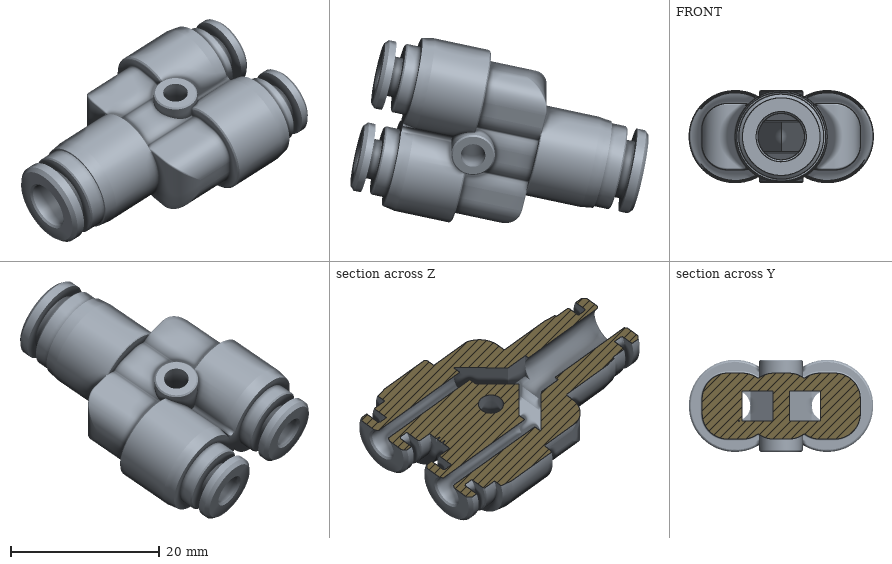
import cadquery as cq
import math

length = 37.7
shell_radius = 6.22
branch_offset = shell_radius

inlet_ring_radius = 5.73
inlet_ring_thickness = 1.65
inlet_neck_radius = 3.95
inlet_sleeve_start = 3.0
inlet_cone_start = 5.28
inlet_cone_radius = 6.0
inlet_cone_end = 6.97
inlet_shell_end = 14.75
inlet_shell_chamfer = 0.1
inlet_bore_radius = 3.13
inlet_bore_depth = 15.08

branch_ring_radius = 4.7
branch_ring_thickness = 1.45
branch_neck_radius = 2.7
branch_sleeve_start = 2.8
branch_cone_start = 4.8
branch_cone_radius = 5.92
branch_cone_end = 6.4
branch_shell_end = 14.25
branch_shell_chamfer = 0.23
branch_bore_radius = 2.07

ring_chamfer = 0.5
sleeve_chamfer = 0.2
neck_flare_width = 0.1
neck_flare_length = 0.23
mouth_chamfer = 0.25

manifold_start = 14.65
bar_half_size = 4.5
bar_edge_radius = 3.5
manifold_corner_radius = 3.55
groove_fillet = 0.23
manifold_rim_fillet = 0.23
junction_fillet = 0.2

web_fillet_radius = 0.5

selection_margin = 0.05

boss_y = 23.1
boss_radius = 2.95
boss_edge_chamfer = 0.2
boss_hole_radius = 1.65

chamber_half_height = 2.2
duct_half_height = 2.0
wedge_tip_y = 17.72

branch_sides = (-1, 1)
branch_mouth_y = length
branch_shell_y = length - branch_shell_end
manifold_half_width = branch_offset + bar_half_size
groove_x = branch_offset / 2


def revolve_port(points, mouth_y, direction, center_x):
    """Turn (radius, depth) points about a port axis; depth grows from the mouth along direction."""
    placed = [(center_x + radius, mouth_y + direction * depth) for radius, depth in points]
    return (
        cq.Workplane("XY")
        .polyline(placed)
        .close()
        .revolve(360, (center_x, 0, 0), (center_x, 1, 0))
    )


def port_outline(ring_radius, ring_thickness, neck_radius, sleeve_start,
                 cone_start, cone_radius, cone_end, shell_end, shell_chamfer):
    """Half section of a port: release ring, neck, sleeve, cone and shell."""
    return [
        (0, 0),
        (ring_radius - ring_chamfer, 0),
        (ring_radius, ring_chamfer),
        (ring_radius, ring_thickness),
        (neck_radius + neck_flare_width, ring_thickness),
        (neck_radius, ring_thickness + neck_flare_length),
        (neck_radius, sleeve_start),
        (ring_radius - sleeve_chamfer, sleeve_start),
        (ring_radius, sleeve_start + sleeve_chamfer),
        (ring_radius, cone_start),
        (cone_radius, cone_start),
        (shell_radius, cone_end),
        (shell_radius, shell_end - shell_chamfer),
        (shell_radius - shell_chamfer, shell_end),
        (0, shell_end),
    ]


def bore_outline(radius, depth):
    """Half section of a blind bore with a chamfered mouth."""
    return [
        (0, 0),
        (radius + mouth_chamfer, 0),
        (radius, mouth_chamfer),
        (radius, depth),
        (0, depth),
    ]


def make_manifold():
    """Three rounded-square bars, joined with filleted grooves and rounded outer corners."""
    bar_length = branch_shell_y - manifold_start
    bars = None
    for center_x in (-branch_offset, 0, branch_offset):
        bar = (
            cq.Workplane("XZ", origin=(center_x, branch_shell_y, 0))
            .rect(2 * bar_half_size, 2 * bar_half_size)
            .extrude(bar_length)
            .edges("|Y")
            .fillet(bar_edge_radius)
        )
        bars = bar if bars is None else bars.union(bar)

    for side in branch_sides:
        near_groove = cq.selectors.BoxSelector(
            (side * groove_x - selection_margin, manifold_start, -bar_half_size),
            (side * groove_x + selection_margin, branch_shell_y, bar_half_size),
        )
        bars = bars.edges("|Y").edges(near_groove).fillet(groove_fillet)

    plan = (
        cq.Workplane("XY")
        .center(0, (manifold_start + branch_shell_y) / 2)
        .rect(2 * manifold_half_width, bar_length)
        .extrude(bar_half_size, both=True)
        .edges("|Z and <Y")
        .fillet(manifold_corner_radius)
    )
    manifold = bars.intersect(plan)
    return manifold.faces("<Y").edges("not |Z").fillet(manifold_rim_fillet)


def fillet_branch_junctions(body):
    """Round the inner corners where the outer bars meet the flat ends of the branch shells."""
    inner_x = groove_x - selection_margin
    outer_x = manifold_half_width + selection_margin
    half_height = bar_half_size + selection_margin
    left, right = [
        cq.selectors.BoxSelector(
            (side * inner_x, branch_shell_y - selection_margin, -half_height),
            (side * outer_x, branch_shell_y + selection_margin, half_height),
        )
        for side in branch_sides
    ]
    return body.edges(left + right).fillet(junction_fillet)


def make_inlet_flare():
    """Concave ring that blends the inlet shell into the flat front of the manifold."""
    flare_radius = shell_radius + junction_fillet
    flare_start = manifold_start - junction_fillet
    arc_offset = junction_fillet * math.sqrt(0.5)
    ring = (
        cq.Workplane("XY")
        .moveTo(shell_radius - junction_fillet, flare_start)
        .lineTo(shell_radius, flare_start)
        .threePointArc((flare_radius - arc_offset, flare_start + arc_offset), (flare_radius, manifold_start))
        .lineTo(flare_radius, inlet_shell_end)
        .lineTo(shell_radius - junction_fillet, inlet_shell_end)
        .close()
        .revolve(360, (0, 0, 0), (0, 1, 0))
    )
    front_half_height = bar_half_size - manifold_rim_fillet
    front_band = (
        cq.Workplane("XY")
        .rect(2 * manifold_half_width, 2 * length)
        .extrude(front_half_height, both=True)
    )
    return ring.intersect(front_band)


def make_web():
    """Fill between the branch shells, topped and bottomed by arcs tangent to both of them."""
    arc_center_z = ((shell_radius + web_fillet_radius) ** 2 - branch_offset ** 2) ** 0.5
    shell_share = shell_radius / (shell_radius + web_fillet_radius)
    tangent_x = branch_offset * (1 - shell_share)
    tangent_z = arc_center_z * shell_share
    arc_mid_z = arc_center_z - web_fillet_radius
    return (
        cq.Workplane("XZ", origin=(0, length - branch_cone_start, 0))
        .moveTo(-tangent_x, -tangent_z)
        .threePointArc((0, -arc_mid_z), (tangent_x, -tangent_z))
        .lineTo(tangent_x, tangent_z)
        .threePointArc((0, arc_mid_z), (-tangent_x, tangent_z))
        .close()
        .extrude(branch_shell_end - branch_cone_start)
    )


def make_boss():
    """Round boss across the full thickness of the fitting."""
    return (
        cq.Workplane("XY", origin=(0, boss_y, 0))
        .circle(boss_radius)
        .extrude(shell_radius, both=True)
        .faces("<Z or >Z")
        .chamfer(boss_edge_chamfer)
    )


def make_passage():
    """Port bores, the flat chamber behind the inlet bore and the two slanted ducts."""
    passage = revolve_port(bore_outline(inlet_bore_radius, inlet_bore_depth), 0, 1, 0)
    duct_inner_x = branch_offset - branch_bore_radius
    duct_outer_x = branch_offset + branch_bore_radius
    duct_end_y = wedge_tip_y + duct_inner_x
    duct_start_y = duct_end_y - (duct_outer_x - inlet_bore_radius)
    chamber = (
        cq.Workplane("XY")
        .rect(2 * inlet_bore_radius, 2 * (duct_start_y - inlet_bore_depth))
        .extrude(chamber_half_height, both=True)
        .translate((0, inlet_bore_depth, 0))
    )
    passage = passage.union(chamber)
    for side in branch_sides:
        duct = (
            cq.Workplane("XY")
            .moveTo(0, inlet_bore_depth)
            .lineTo(0, wedge_tip_y)
            .lineTo(side * duct_inner_x, duct_end_y)
            .lineTo(side * duct_outer_x, duct_end_y)
            .lineTo(side * inlet_bore_radius, duct_start_y)
            .lineTo(side * inlet_bore_radius, inlet_bore_depth)
            .close()
            .extrude(duct_half_height, both=True)
        )
        bore = revolve_port(
            bore_outline(branch_bore_radius, branch_mouth_y - duct_end_y),
            branch_mouth_y, -1, side * branch_offset,
        )
        passage = passage.union(duct).union(bore)
    return passage


inlet_outline = port_outline(
    inlet_ring_radius, inlet_ring_thickness, inlet_neck_radius, inlet_sleeve_start,
    inlet_cone_start, inlet_cone_radius, inlet_cone_end,
    inlet_shell_end, inlet_shell_chamfer,
)
branch_outline = port_outline(
    branch_ring_radius, branch_ring_thickness, branch_neck_radius, branch_sleeve_start,
    branch_cone_start, branch_cone_radius, branch_cone_end,
    branch_shell_end, branch_shell_chamfer,
)

branches = make_web()
for side in branch_sides:
    branches = branches.union(revolve_port(branch_outline, branch_mouth_y, -1, side * branch_offset))

body = fillet_branch_junctions(make_manifold().union(branches).union(make_boss()))
body = body.union(revolve_port(inlet_outline, 0, 1, 0).union(make_inlet_flare()))
boss_hole = (
    cq.Workplane("XY", origin=(0, boss_y, 0))
    .circle(boss_hole_radius)
    .extrude(shell_radius, both=True)
)
result = body.cut(make_passage()).cut(boss_hole)